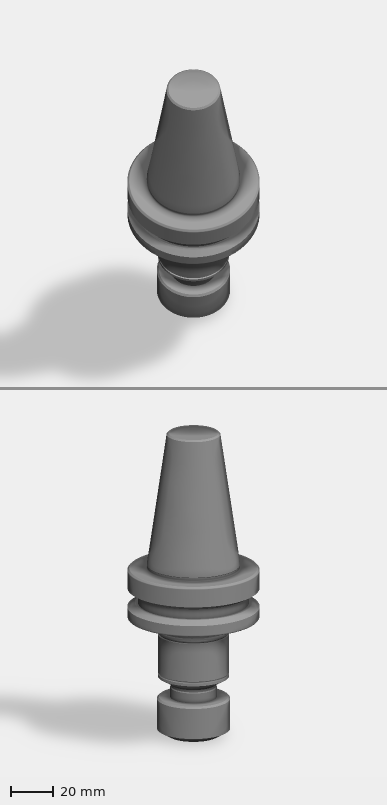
import cadquery as cq
import math

TOTAL_LENGTH = 150.4
GAUGE_Z = 85.0
FLANGE_TOP_Z = 83.0
V_GROOVE_Z = 68.5
FLANGE_BOTTOM_Z = 58.2
BEAD_Z = 51.6
SLIT_TOP_Z = 31.5
CONE_TOP_Z = 29.2
UNDERCUT_BOTTOM_Z = 23.8
NUT_TOP_Z = 19.0

GAUGE_RADIUS = 22.3
TAPER_SLOPE = 7 / 48
SHANK_END_CHAMFER = 0.8
RELIEF_DEPTH = 0.3
RELIEF_FILLET = 0.6

FLANGE_RADIUS = 31.51
FLANGE_TOP_CHAMFER = 0.9
FLANGE_TOP_BLEND = 0.5
FLANGE_BOTTOM_FILLET = 0.9
V_GROOVE_MOUTH_WIDTH = 9.3
V_GROOVE_FLOOR_WIDTH = 5.3
V_GROOVE_FLOOR_RADIUS = 26.5
V_GROOVE_FLANK_ANGLE = 30

NECK_RADIUS = 17.0
NECK_FILLET = 2.3
BEAD_SECTION_RADIUS = 1.2
BEAD_GROOVE_WIDTH = 2.7
SLIT_WIDTH = 0.9
SLIT_FLOOR_RADIUS = 14.9

STEM_RADIUS = 11.1
NECK_CONE_ANGLE = 30
UNDERCUT_DEPTH = 0.5

NUT_RADIUS = 17.5
NUT_TOP_CHAMFER = 0.9
NUT_FACE_RADIUS = 12.2
NUT_CONE_ANGLE = 30


def cone_height(radial_step, angle):
    """Axial length of a cone whose side leans by angle from the horizontal."""
    return radial_step * math.tan(math.radians(angle))


def turn(outline):
    """Close an outline drawn as (radius, height) and turn it fully about Z."""
    return outline.close().revolve(360, (0, 0), (0, 1))


def make_shank():
    end_radius = GAUGE_RADIUS - (TOTAL_LENGTH - GAUGE_Z) * TAPER_SLOPE
    relief_radius = GAUGE_RADIUS - RELIEF_DEPTH
    outline = (
        cq.Workplane("XZ")
        .moveTo(0, FLANGE_TOP_Z)
        .lineTo(relief_radius + RELIEF_FILLET, FLANGE_TOP_Z)
        .radiusArc((relief_radius, FLANGE_TOP_Z + RELIEF_FILLET), RELIEF_FILLET)
        .lineTo(relief_radius, GAUGE_Z - RELIEF_DEPTH)
        .lineTo(GAUGE_RADIUS, GAUGE_Z)
        .lineTo(end_radius, TOTAL_LENGTH)
        .lineTo(0, TOTAL_LENGTH)
    )
    return turn(outline).faces(">Z").chamfer(SHANK_END_CHAMFER)


def make_v_groove():
    half_mouth = V_GROOVE_MOUTH_WIDTH / 2
    half_floor = V_GROOVE_FLOOR_WIDTH / 2
    flank_length = (half_mouth - half_floor) / math.tan(math.radians(V_GROOVE_FLANK_ANGLE))
    flank_radius = FLANGE_RADIUS - flank_length
    return turn(
        cq.Workplane("XZ").polyline([
            (FLANGE_RADIUS, V_GROOVE_Z - half_mouth),
            (flank_radius, V_GROOVE_Z - half_floor),
            (V_GROOVE_FLOOR_RADIUS, V_GROOVE_Z - half_floor),
            (V_GROOVE_FLOOR_RADIUS, V_GROOVE_Z + half_floor),
            (flank_radius, V_GROOVE_Z + half_floor),
            (FLANGE_RADIUS, V_GROOVE_Z + half_mouth),
        ])
    )


def make_flange():
    """Disc with a softened top chamfer, a rounded bottom edge and the V groove around its rim."""
    disc = (
        cq.Workplane("XY", origin=(0, 0, FLANGE_BOTTOM_Z))
        .circle(FLANGE_RADIUS)
        .extrude(FLANGE_TOP_Z - FLANGE_BOTTOM_Z)
        .faces(">Z")
        .chamfer(FLANGE_TOP_CHAMFER)
        .edges("%CIRCLE and (not <Z)")
        .fillet(FLANGE_TOP_BLEND)
        .edges("<Z")
        .fillet(FLANGE_BOTTOM_FILLET)
    )
    return disc.cut(make_v_groove())


def make_neck_and_stem():
    """Neck that blends into the flange and tapers through a cone to the undercut stem."""
    cone_bottom_z = CONE_TOP_Z - cone_height(NECK_RADIUS - STEM_RADIUS, NECK_CONE_ANGLE)
    undercut_radius = STEM_RADIUS - UNDERCUT_DEPTH
    outline = (
        cq.Workplane("XZ")
        .moveTo(0, NUT_TOP_Z)
        .lineTo(STEM_RADIUS, NUT_TOP_Z)
        .lineTo(STEM_RADIUS, UNDERCUT_BOTTOM_Z)
        .lineTo(undercut_radius, UNDERCUT_BOTTOM_Z + UNDERCUT_DEPTH)
        .lineTo(undercut_radius, cone_bottom_z - UNDERCUT_DEPTH)
        .lineTo(STEM_RADIUS, cone_bottom_z)
        .lineTo(NECK_RADIUS, CONE_TOP_Z)
        .lineTo(NECK_RADIUS, FLANGE_BOTTOM_Z - NECK_FILLET)
        .radiusArc((NECK_RADIUS + NECK_FILLET, FLANGE_BOTTOM_Z), NECK_FILLET)
        .lineTo(0, FLANGE_BOTTOM_Z)
    )
    return turn(outline)


def make_neck_groove(floor_radius, bottom_z, width):
    """Square-sided ring cutter around the neck."""
    return (
        cq.Workplane("XY", origin=(0, 0, bottom_z))
        .circle(NECK_RADIUS)
        .circle(floor_radius)
        .extrude(width)
    )


def make_bead(center_radius):
    """Ring of round section around the neck."""
    torus = cq.Solid.makeTorus(center_radius, BEAD_SECTION_RADIUS, cq.Vector(0, 0, BEAD_Z))
    return cq.Workplane(obj=torus)


def make_holder():
    bead_center_radius = NECK_RADIUS - BEAD_SECTION_RADIUS
    bead_groove_bottom_z = BEAD_Z - BEAD_GROOVE_WIDTH / 2
    bead_groove = make_neck_groove(bead_center_radius, bead_groove_bottom_z, BEAD_GROOVE_WIDTH)
    slit = make_neck_groove(SLIT_FLOOR_RADIUS, SLIT_TOP_Z - SLIT_WIDTH, SLIT_WIDTH)
    neck = make_neck_and_stem().cut(bead_groove).cut(slit).union(make_bead(bead_center_radius))
    return make_flange().union(make_shank()).union(neck)


def make_nut():
    """Nut with a chamfered upper rim and a conical nose, seated against the end of the stem."""
    nose_height = cone_height(NUT_RADIUS - NUT_FACE_RADIUS, NUT_CONE_ANGLE)
    return turn(
        cq.Workplane("XZ").polyline([
            (0, 0),
            (NUT_FACE_RADIUS, 0),
            (NUT_RADIUS, nose_height),
            (NUT_RADIUS, NUT_TOP_Z - NUT_TOP_CHAMFER),
            (NUT_RADIUS - NUT_TOP_CHAMFER, NUT_TOP_Z),
            (0, NUT_TOP_Z),
        ])
    )


holder = make_holder()
nut = make_nut()

result = cq.Compound.makeCompound([holder.solids().val(), nut.val()])